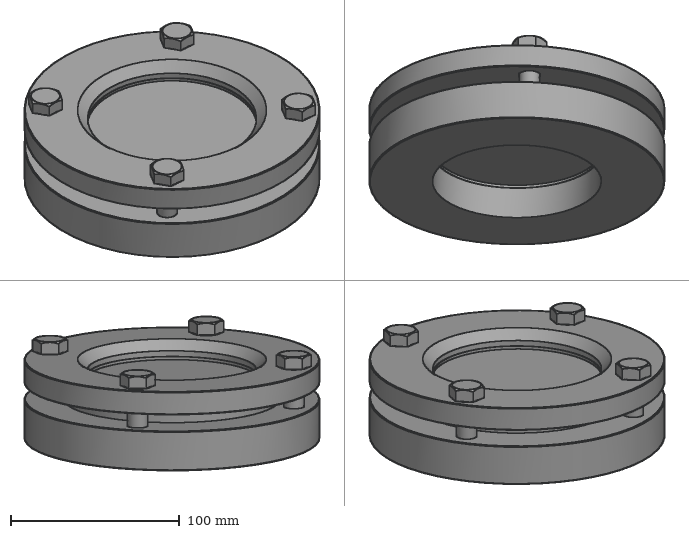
import cadquery as cq
import math

flange_diameter = 175.0
bore_diameter = 100.0
base_height = 24.0
cover_height = 14.0
flange_gap = 10.0
edge_chamfer = 0.5

mouth_depth = 6.0
mouth_top_diameter = bore_diameter + 2 * mouth_depth

glass_diameter = 125.0
gasket_diameter = 127.0
gasket_bore_diameter = 100.5
gasket_thickness = 2.0
recess_diameter = 128.0
recess_depth = 4.5

bolt_circle_diameter = 150.0
bolt_count = 4
first_bolt_angle = 45.0
shank_diameter = 12.0
shank_length = 40.0
clearance_diameter = 13.0
washer_face_diameter = 16.5
washer_face_height = 0.5
head_sides = 6
head_across_flats = 18.0
head_height = 7.5
head_crown_diameter = 17.2
crown_angle = 30.0

cover_bottom = base_height + flange_gap
cover_top = cover_bottom + cover_height
lower_gasket_bottom = base_height - recess_depth
glass_bottom = lower_gasket_bottom + gasket_thickness
upper_gasket_top = cover_bottom + recess_depth
upper_gasket_bottom = upper_gasket_top - gasket_thickness
glass_thickness = upper_gasket_bottom - glass_bottom
shank_bottom = cover_top - shank_length


def disc(diameter, height, bottom):
    """Upright cylinder on the part's axis, standing on the given height."""
    return cq.Workplane("XY").workplane(offset=bottom).circle(diameter / 2).extrude(height)


def bolt_centers():
    """Centers of the bolts, evenly spaced round the bolt circle."""
    radius = bolt_circle_diameter / 2
    angles = [math.radians(first_bolt_angle + i * 360 / bolt_count) for i in range(bolt_count)]
    return [(radius * math.cos(angle), radius * math.sin(angle)) for angle in angles]


def bolt_holes(diameter, height, bottom):
    """Cylinders that cut one hole at every bolt."""
    return (
        cq.Workplane("XY").workplane(offset=bottom)
        .pushPoints(bolt_centers())
        .circle(diameter / 2)
        .extrude(height)
    )


def flange_blank(height, bottom):
    """Round plate with both rims chamfered."""
    return disc(flange_diameter, height, bottom).faces("<Z or >Z").chamfer(edge_chamfer)


def make_base():
    """Lower ring with a gasket recess in its top and blind holes for the shank ends."""
    bore = disc(bore_diameter, base_height, 0)
    recess = disc(recess_diameter, recess_depth, lower_gasket_bottom)
    holes = bolt_holes(shank_diameter, base_height - shank_bottom, shank_bottom)
    return flange_blank(base_height, 0).cut(bore).cut(recess).cut(holes)


def make_cover():
    """Upper ring with a conical mouth, a gasket recess below and clearance holes."""
    bore = disc(bore_diameter, cover_height, cover_bottom)
    mouth = cq.Workplane(
        cq.Solid.makeCone(
            bore_diameter / 2,
            mouth_top_diameter / 2,
            mouth_depth,
            pnt=cq.Vector(0, 0, cover_top - mouth_depth),
        )
    )
    recess = disc(recess_diameter, recess_depth, cover_bottom)
    holes = bolt_holes(clearance_diameter, cover_height, cover_bottom)
    return flange_blank(cover_height, cover_bottom).cut(bore).cut(mouth).cut(recess).cut(holes)


def make_glass():
    """Plain glass disc."""
    return disc(glass_diameter, glass_thickness, glass_bottom)


def make_gasket(bottom):
    """Flat sealing ring."""
    hole = disc(gasket_bore_diameter, gasket_thickness, bottom)
    return disc(gasket_diameter, gasket_thickness, bottom).cut(hole)


def make_bolt_head(bottom):
    """Hexagon with two corners along Y, its top corners turned off by a shallow cone."""
    across_corners = head_across_flats / math.cos(math.pi / head_sides)
    hexagon = (
        cq.Workplane("XY").workplane(offset=bottom)
        .transformed(rotate=(0, 0, 90))
        .polygon(head_sides, across_corners)
        .extrude(head_height)
    )
    crown_drop = (across_corners - head_crown_diameter) / 2 * math.tan(math.radians(crown_angle))
    crown_profile = [
        (0, bottom),
        (across_corners / 2, bottom),
        (across_corners / 2, bottom + head_height - crown_drop),
        (head_crown_diameter / 2, bottom + head_height),
        (0, bottom + head_height),
    ]
    crown = cq.Workplane("XZ").polyline(crown_profile).close().revolve(360, (0, 0), (0, 1))
    return hexagon.intersect(crown)


def make_bolt(center):
    """Shank, washer face and crowned hexagon head as one solid."""
    shank = disc(shank_diameter, shank_length, shank_bottom)
    washer_face = disc(washer_face_diameter, washer_face_height, cover_top)
    head = make_bolt_head(cover_top + washer_face_height)
    return shank.union(washer_face).union(head).translate((*center, 0))


base = make_base()
cover = make_cover()
glass = make_glass()
gaskets = [make_gasket(bottom) for bottom in (lower_gasket_bottom, upper_gasket_bottom)]
bolts = [make_bolt(center) for center in bolt_centers()]

result = cq.Compound.makeCompound([
    base.val(),
    cover.val(),
    glass.val(),
    *[gasket.val() for gasket in gaskets],
    *[bolt.val() for bolt in bolts],
])